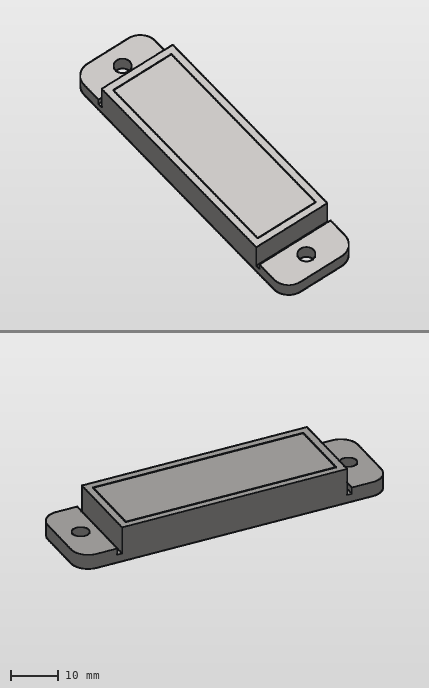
import cadquery as cq

length = 73.0
width = 19.0
base_thickness = 3.5
corner_radius = 4.0

height = 8.4
housing_length = 53.0

groove_width = 1.1
groove_floor = 2.0

recess_border = 1.75
recess_depth = 0.15

hole_diameter = 3.8
hole_spacing = 63.0

base = (
    cq.Workplane("XY")
    .rect(length, width)
    .extrude(base_thickness)
    .edges("|Z")
    .fillet(corner_radius)
)
housing = cq.Workplane("XY").rect(housing_length, width).extrude(height)

groove_offset = (housing_length + groove_width) / 2
grooves = (
    cq.Workplane("XY")
    .workplane(offset=groove_floor)
    .pushPoints([(-groove_offset, 0), (groove_offset, 0)])
    .rect(groove_width, width)
    .extrude(height - groove_floor)
)
holes = (
    cq.Workplane("XY")
    .pushPoints([(-hole_spacing / 2, 0), (hole_spacing / 2, 0)])
    .circle(hole_diameter / 2)
    .extrude(base_thickness)
)
recess = (
    cq.Workplane("XY")
    .workplane(offset=height - recess_depth)
    .rect(housing_length - 2 * recess_border, width - 2 * recess_border)
    .extrude(recess_depth)
)

result = base.union(housing).cut(grooves).cut(holes).cut(recess)